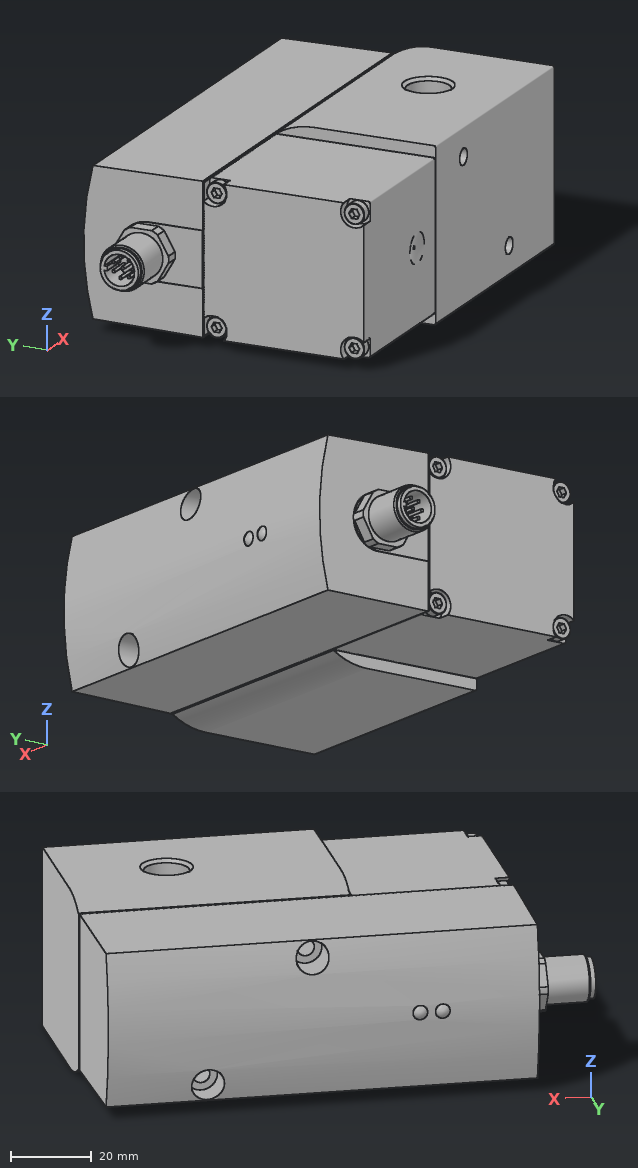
import cadquery as cq
import math


total_length = 126.9
total_depth = 78.18
body_length = 110.5
split_y = 44.0
joint_gap = 0.3
joint_inset = 0.3
edge_round = 0.5

housing_height = 41.0
port_block_x = 41.6
port_block_height = 47.0
shoulder_start_y = 33.5
shoulder_end_y = split_y - joint_gap

cover_y = split_y + joint_gap
cover_end_inset = 0.15
cover_draft = 0.7
cover_edge_y = 74.7
cover_crown_y = 77.25
lamp_diameter = 4.4
lamp_round = 2.1
lamp_xs = (25.1, 30.8)

mount_holes = ((57.8, 15.7), (84.3, -15.7))
mount_diameter = 4.4
mount_bore_diameter = 8.3
mount_bore_depth = 10.0

port_x = 83.5
port_y = 21.8
port_diameter = 11.45
port_rim_diameter = 13.2
port_depth = 12.0

vent_x = 30.9
vent_diameter = 8.3
vent_sphere_diameter = 22.0
vent_hole_diameter = 0.8
vent_hole_depth = 3.0

screw_ys = (3.1, 40.9)
screw_z = 17.6
screw_head_diameter = 5.5
screw_head_height = 2.6
screw_head_chamfer = 0.15
screw_socket_flats = 2.5
screw_socket_depth = 2.0
pocket_diameter = 7.5
pocket_depth = 3.6
pocket_shift = 0.5

connector_y = 59.4
nut_flats = 14.0
nut_corner_diameter = 15.2
nut_thickness = 3.8
barrel_diameter = 12.0
barrel_end_x = -15.0
barrel_chamfer = 0.4
tip_diameter = 10.5
tip_x = body_length - total_length
socket_diameter = 8.3
socket_depth = 8.0
key_width = 1.2
key_height = 0.8
pin_diameter = 0.8
pin_circle_diameter = 5.5
pin_length = 6.0
outer_pin_count = 7
pad_width = 15.2
pad_depth = 1.0


def box(x0, x1, y0, y1, height):
    """Box between two X and two Y limits, centred on Z = 0."""
    return (
        cq.Workplane("XY")
        .box(x1 - x0, y1 - y0, height, centered=(False, False, True))
        .translate((x0, y0, 0))
    )


def rod_x(x0, x1, y, z, diameter):
    """Cylinder along X from x0 to x1."""
    return cq.Workplane("YZ", origin=(x0, y, z)).circle(diameter / 2).extrude(x1 - x0)


def rod_y(y0, y1, x, z, diameter):
    """Cylinder along Y from y0 to y1."""
    return cq.Workplane("XZ", origin=(x, y0, z)).circle(diameter / 2).extrude(y0 - y1)


def hexagon_x(x0, x1, y, z, flats):
    """Hexagonal prism along X with two corners pointing along Y."""
    corner_diameter = flats / math.cos(math.radians(30))
    return cq.Workplane("YZ", origin=(x0, y, z)).polygon(6, corner_diameter).extrude(x1 - x0)


def make_pilot_housing():
    housing = box(0, port_block_x - joint_gap, 0, split_y, housing_height)
    return housing.edges("|X").fillet(edge_round)


def make_port_block():
    half = port_block_height / 2
    neck = housing_height / 2
    run = shoulder_end_y - shoulder_start_y
    drop = half - neck
    radius = (run**2 + drop**2) / (2 * drop)
    half_angle = math.asin(run / radius) / 2
    mid_y = shoulder_start_y + radius * math.sin(half_angle)
    mid_z = half - radius * (1 - math.cos(half_angle))
    block = (
        cq.Workplane("YZ", origin=(port_block_x, 0, 0))
        .moveTo(0, -half)
        .lineTo(shoulder_start_y, -half)
        .threePointArc((mid_y, -mid_z), (shoulder_end_y, -neck))
        .lineTo(split_y, -neck)
        .lineTo(split_y, neck)
        .lineTo(shoulder_end_y, neck)
        .threePointArc((mid_y, mid_z), (shoulder_start_y, half))
        .lineTo(0, half)
        .close()
        .extrude(body_length - port_block_x)
    )
    return block.edges("|X and <Y").fillet(edge_round)


def make_joints():
    """Inset strips that join the housing, the port block and the cover."""
    height = housing_height - 2 * joint_inset
    middle = box(
        port_block_x - joint_gap, port_block_x, joint_inset, split_y - joint_inset, height
    )
    seal = box(joint_inset, body_length - joint_inset, split_y, cover_y, height)
    return middle.union(seal)


def make_cover():
    half = housing_height / 2
    cover = (
        cq.Workplane("XZ", origin=(body_length / 2, cover_y, 0))
        .rect(body_length - 2 * cover_end_inset, housing_height)
        .extrude(cover_y - total_depth, taper=cover_draft)
    )
    edge_half = half - (cover_edge_y - cover_y) * math.tan(math.radians(cover_draft))
    crown = (
        cq.Workplane("YZ")
        .moveTo(cover_y, -half)
        .lineTo(cover_edge_y, -half)
        .lineTo(cover_edge_y, -edge_half)
        .threePointArc((cover_crown_y, 0), (cover_edge_y, edge_half))
        .lineTo(cover_edge_y, half)
        .lineTo(cover_y, half)
        .close()
        .extrude(body_length)
    )
    cover = cover.intersect(crown)
    for x in lamp_xs:
        lamp = rod_y(cover_edge_y, total_depth, x, 0, lamp_diameter)
        cover = cover.union(lamp.faces(">Y").fillet(lamp_round))
    return cover


def make_connector_pad():
    """Upright flat pad under the connector on the drafted end of the cover."""
    foot = box(0, pad_depth, cover_y, connector_y, pad_width)
    return foot.union(rod_x(0, pad_depth, connector_y, 0, pad_width))


def make_connector():
    nut = hexagon_x(-nut_thickness, 0, connector_y, 0, nut_flats)
    nut = nut.intersect(rod_x(-nut_thickness, 0, connector_y, 0, nut_corner_diameter))
    barrel = rod_x(barrel_end_x, 0, connector_y, 0, barrel_diameter)
    barrel = barrel.faces("<X").chamfer(barrel_chamfer)
    tip = rod_x(tip_x, barrel_end_x, connector_y, 0, tip_diameter)
    socket_floor_x = tip_x + socket_depth
    connector = nut.union(barrel).union(tip)
    connector = connector.cut(rod_x(tip_x, socket_floor_x, connector_y, 0, socket_diameter))

    key_outer_y = connector_y + (socket_diameter + tip_diameter) / 4
    key_inner_y = connector_y + socket_diameter / 2 - key_height
    connector = connector.union(box(tip_x, socket_floor_x, key_inner_y, key_outer_y, key_width))

    pin_radius = pin_circle_diameter / 2
    pin_spots = [(connector_y, 0)]
    for i in range(outer_pin_count):
        angle = 2 * math.pi * i / outer_pin_count
        pin_spots.append((connector_y - pin_radius * math.cos(angle), pin_radius * math.sin(angle)))
    for y, z in pin_spots:
        connector = connector.union(
            rod_x(socket_floor_x - pin_length, socket_floor_x, y, z, pin_diameter)
        )
    return connector


def fit_corner_screws(part):
    head_x = pocket_depth - screw_head_height
    middle_y = split_y / 2
    housing_space = box(0, pocket_depth, 0, split_y, housing_height)
    for y in screw_ys:
        for side in (-1, 1):
            z = side * screw_z
            pocket_y = y + math.copysign(pocket_shift, y - middle_y)
            pocket_z = z + side * pocket_shift
            pocket = rod_x(0, pocket_depth, pocket_y, pocket_z, pocket_diameter)
            pocket = pocket.intersect(housing_space)
            head = rod_x(head_x, pocket_depth, y, z, screw_head_diameter)
            head = head.faces("<X").chamfer(screw_head_chamfer)
            socket = hexagon_x(head_x, head_x + screw_socket_depth, y, z, screw_socket_flats)
            part = part.cut(pocket).union(head.cut(socket))
    return part


def cut_port(part):
    """Blind port with a chamfered rim in the top face."""
    rim = (port_rim_diameter - port_diameter) / 2
    half = port_block_height / 2
    port = (
        cq.Workplane("XZ")
        .moveTo(0, half)
        .lineTo(port_rim_diameter / 2, half)
        .lineTo(port_diameter / 2, half - rim)
        .lineTo(port_diameter / 2, half - port_depth)
        .lineTo(0, half - port_depth)
        .close()
        .revolve(360, (0, 0, 0), (0, 1, 0))
        .translate((port_x, port_y, 0))
    )
    return part.cut(port)


def cut_mounting_holes(part):
    for x, z in mount_holes:
        part = part.cut(rod_y(0, total_depth, x, z, mount_diameter))
        bore_floor_y = cover_crown_y - mount_bore_depth
        part = part.cut(rod_y(bore_floor_y, total_depth, x, z, mount_bore_diameter))
    return part


def cut_vent(part):
    sphere_radius = vent_sphere_diameter / 2
    sphere_y = -math.sqrt(sphere_radius**2 - (vent_diameter / 2) ** 2)
    dish = cq.Workplane("XY").sphere(sphere_radius).translate((vent_x, sphere_y, 0))
    return part.cut(dish).cut(rod_y(0, vent_hole_depth, vent_x, 0, vent_hole_diameter))


result = make_pilot_housing().union(make_port_block()).union(make_joints())
result = result.union(make_cover()).union(make_connector_pad()).union(make_connector())
result = fit_corner_screws(result)
result = cut_port(result)
result = cut_mounting_holes(result)
result = cut_vent(result)